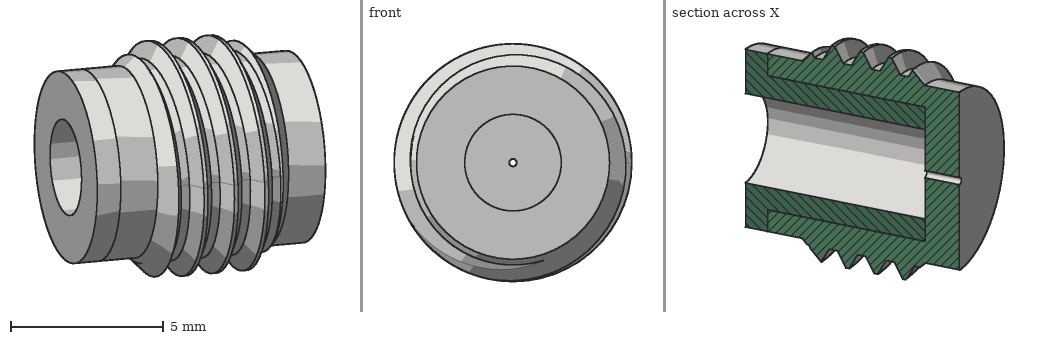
import cadquery as cq
import math

length = 7.94
body_radius = 3.175
flange_thickness = 0.82

thread_start = 2.105
thread_end = 6.65
major_radius = 3.9105
root_radius = 3.37
pitch = 1.055
crest_width = pitch / 8
flank_angle = math.radians(30)
crest_position = 3.52
turns_before = 2
turn_count = 6
mouth_overshoot = 0.04

bore_radius = 1.59
spigot_radius = 2.38
seat_position = thread_end
pinhole_radius = 0.12


def cylinder(radius, start, end):
    return cq.Workplane("XY").workplane(offset=start).circle(radius).extrude(end - start)


def lay_along_y(body):
    return body.rotate((0, 0, 0), (1, 0, 0), -90)


def thread_envelope():
    """Threaded length with 45 degree tapers from the plain ends."""
    taper = major_radius - body_radius
    return (
        cq.Workplane("XZ")
        .moveTo(0, thread_start)
        .lineTo(body_radius, thread_start)
        .lineTo(major_radius, thread_start + taper)
        .lineTo(major_radius, thread_end - taper)
        .lineTo(body_radius, thread_end)
        .lineTo(0, thread_end)
        .close()
        .revolve(360, (0, 0, 0), (0, 1, 0))
    )


def groove_turn():
    """One turn of the V groove with a flat root, centred on height zero at its start."""
    mouth_radius = major_radius + mouth_overshoot
    half_root = (pitch - crest_width) / 2 - (major_radius - root_radius) * math.tan(flank_angle)
    half_mouth = half_root + (mouth_radius - root_radius) * math.tan(flank_angle)
    helix = cq.Wire.makeHelix(pitch, pitch, root_radius)
    return (
        cq.Workplane("XZ")
        .moveTo(root_radius, -half_root)
        .lineTo(mouth_radius, -half_mouth)
        .lineTo(mouth_radius, half_mouth)
        .lineTo(root_radius, half_root)
        .close()
        .sweep(cq.Workplane(helix), isFrenet=True)
    )


def make_thread():
    """Tapered blank with the groove cut turn by turn, running out past both ends."""
    thread = thread_envelope()
    turn = groove_turn()
    groove_start = crest_position - (turns_before + 0.5) * pitch
    for index in range(turn_count):
        thread = thread.cut(turn.translate((0, 0, groove_start + index * pitch)))
    return thread


def make_screw():
    """Threaded screw with a blind socket for the insert and a pinhole in its end wall."""
    screw = make_thread().union(cylinder(body_radius, flange_thickness, thread_start))
    screw = screw.union(cylinder(body_radius, thread_end, length))
    screw = screw.cut(cylinder(spigot_radius, flange_thickness, seat_position))
    screw = screw.cut(cylinder(pinhole_radius, seat_position, length))
    return lay_along_y(screw)


def make_insert():
    """Flanged sleeve whose spigot fills the socket of the screw."""
    flange = cylinder(body_radius, 0, flange_thickness)
    sleeve = flange.union(cylinder(spigot_radius, flange_thickness, seat_position))
    return lay_along_y(sleeve.cut(cylinder(bore_radius, 0, seat_position)))


screw = make_screw()
insert = make_insert()

centre_shift = (0, -length / 2, 0)
screw = screw.translate(centre_shift)
insert = insert.translate(centre_shift)

result = cq.Compound.makeCompound([screw.solids().val(), insert.solids().val()])